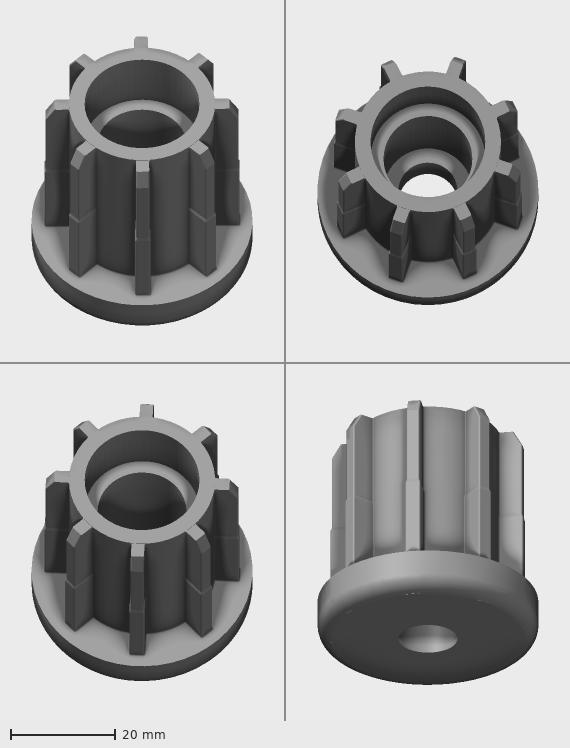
import cadquery as cq
import math

total_height = 43.0
flange_radius = 21.2
flange_height = 8.0
flange_round = 3.0

tube_radius = 14.0
bore_radius = 11.0
bore_floor_z = 30.95
pocket_radius = 8.5
pocket_floor_z = flange_height
hole_radius = 5.68

rib_count = 8
rib_reach = 18.7
rib_width = 2.92
rib_step = 0.2
step_start_z = 24.3
step_height = 0.7
upper_reach = rib_reach - rib_step
upper_width = rib_width - 2 * rib_step

rib_top_z = total_height - 0.1
lead_in_start_z = 40.0
lead_in_angle = 30.0

edge_round = 0.3
root_fillet = 0.3
tolerance = 0.005


def make_flange():
    flange = cq.Workplane("XY").circle(flange_radius).extrude(flange_height)
    return flange.faces("<Z").edges().fillet(flange_round)


def make_tube():
    return cq.Workplane("XY").circle(tube_radius).extrude(total_height)


def make_upper_rib():
    """Narrow rib from the axis outwards along +X, full height, with the sloped lead-in."""
    lead_in_depth = (rib_top_z - lead_in_start_z) * math.tan(math.radians(lead_in_angle))
    side_outline = [
        (0, 0),
        (upper_reach, 0),
        (upper_reach, lead_in_start_z),
        (upper_reach - lead_in_depth, rib_top_z),
        (0, rib_top_z),
    ]
    return cq.Workplane("XZ").polyline(side_outline).close().extrude(upper_width / 2, both=True)


def make_lower_rib():
    """Wide lower rib along +X, ending in a short taper down to the upper rib's section."""
    block = cq.Workplane("XY").rect(2 * rib_reach, rib_width).extrude(step_start_z)
    taper = (
        block.faces(">Z")
        .workplane()
        .rect(2 * rib_reach, rib_width)
        .workplane(offset=step_height)
        .rect(2 * upper_reach, upper_width)
        .loft(ruled=True, combine=False)
    )
    outer_half = cq.Workplane("XY").box(
        rib_reach, rib_width, total_height, centered=(False, True, False)
    )
    return block.union(taper).intersect(outer_half)


def is_outer_rib_edge(edge):
    """True for the edges that run up the two outer corners of the rib along +X."""
    middle = edge.Center()
    rises = abs(edge.endPoint().z - edge.startPoint().z) > tolerance
    on_side = abs(middle.y) > upper_width / 2 - tolerance
    return rises and on_side and middle.x > tube_radius


def make_rib():
    rib = make_lower_rib().union(make_upper_rib())
    outer_edges = [edge for edge in rib.edges().vals() if is_outer_rib_edge(edge)]
    return rib.newObject(outer_edges).fillet(edge_round)


def is_root_edge(edge):
    """True where a rib meets the tube, and where tube and ribs meet the flange."""
    box = edge.BoundingBox()
    points = [edge.positionAt(fraction) for fraction in (0, 0.5, 1)]
    radii = [math.hypot(point.x, point.y) for point in points]
    rises = box.zmax - box.zmin > tolerance
    above_flange = box.zmin > flange_height - tolerance
    on_tube = all(abs(radius - tube_radius) < tolerance for radius in radii)
    on_flange_top = above_flange and box.zmax < flange_height + tolerance
    inside_rim = max(radii) < flange_radius - tolerance
    return (rises and above_flange and on_tube) or (on_flange_top and inside_rim)


def make_ribbed_body():
    body = make_flange().union(make_tube())
    rib = make_rib()
    for index in range(rib_count):
        angle = index * 360 / rib_count
        body = body.union(rib.rotate((0, 0, 0), (0, 0, 1), angle))
    root_edges = [edge for edge in body.edges().vals() if is_root_edge(edge)]
    return body.newObject(root_edges).fillet(root_fillet)


def cut_bore(body, radius, floor_z):
    """Cut a round bore from the tube rim down to floor_z."""
    bore = (
        cq.Workplane("XY", origin=(0, 0, floor_z))
        .circle(radius)
        .extrude(total_height - floor_z)
    )
    return body.cut(bore)


result = make_ribbed_body()
result = cut_bore(result, bore_radius, bore_floor_z)
result = cut_bore(result, pocket_radius, pocket_floor_z)
result = cut_bore(result, hole_radius, 0)